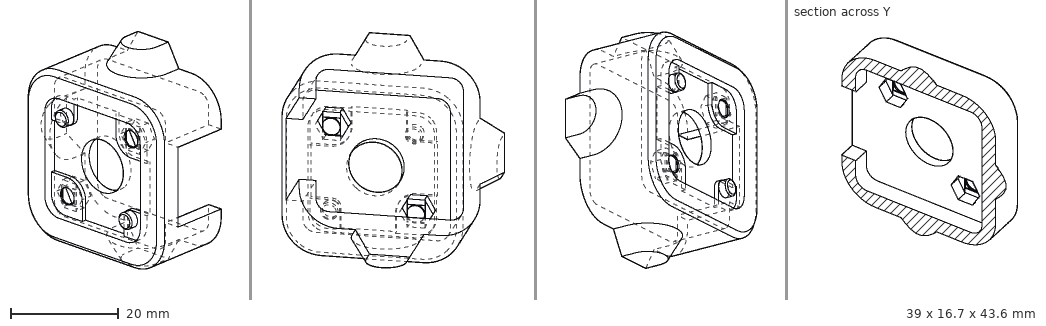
import cadquery as cq
import math

BODY_SIDE = 34.35
DEPTH = 16.65
CORNER_RADIUS = 7.5
FRONT_CHAMFER = 1.05

OVERALL_HEIGHT = 43.6
BOSS_HEIGHT = (OVERALL_HEIGHT - BODY_SIDE) / 2
BOSS_BASE_RADIUS = 6.5
BOSS_TIP_RADIUS = 3.85
BOSS_CENTRE_FROM_BACK = 3.2

POCKET_SIDE = 24.02
POCKET_RADIUS = 3.5
POCKET_DEPTH = 2.7
PLATE_BACK = 4.8
CENTRE_HOLE_DIAMETER = 10.5

CAVITY_SIDE = 28.0
CAVITY_RADIUS = 2.5
WINDOW_WIDTH = 16.05

PAD_FACE = 1.8
FIXING_OFFSET = 8.02
HOLE_PAD_RADIUS = 3.8
PIN_PAD_RADIUS = 1.75

SCREW_HOLE_DIAMETER = 3.4
NUT_ACROSS_FLATS = 5.5
NUT_ACROSS_CORNERS = NUT_ACROSS_FLATS / math.cos(math.pi / 6)
NUT_TRAP_FLOOR = 2.5
STEP_HEIGHT = 0.17

PIN_DIAMETER = 3.3
PIN_CHAMFER = 0.3


def sketch_plane(y, x=0, z=0):
    """Workplane parallel to the front face; its extrusions towards the back are negative."""
    return cq.Workplane("XZ", origin=(x, y, z))


def rounded_square(side, radius, y_front, y_back):
    """Square prism along Y with rounded long edges."""
    prism = sketch_plane(y_front).rect(side, side).extrude(y_front - y_back)
    return prism.edges("|Y").fillet(radius)


def rod(x, z, diameter, y_front, y_back):
    """Round bar along Y."""
    return sketch_plane(y_front, x, z).circle(diameter / 2).extrude(y_front - y_back)


def d_outline(workplane, radius):
    """Half circle towards the front with straight flanks running to the back face."""
    return (
        workplane.moveTo(-BOSS_CENTRE_FROM_BACK, -radius)
        .threePointArc((-BOSS_CENTRE_FROM_BACK - radius, 0), (-BOSS_CENTRE_FROM_BACK, radius))
        .lineTo(0, radius)
        .lineTo(0, -radius)
        .close()
    )


def side_boss(angle):
    """Tapered boss on the -X side, turned about the Y axis to another side."""
    wall = cq.Plane(origin=(-BODY_SIDE / 2, DEPTH, 0), xDir=(0, 1, 0), normal=(-1, 0, 0))
    base = d_outline(cq.Workplane(wall), BOSS_BASE_RADIUS)
    boss = d_outline(base.workplane(offset=BOSS_HEIGHT), BOSS_TIP_RADIUS).loft(ruled=True)
    return boss.rotate((0, 0, 0), (0, 1, 0), angle)


def corner_pad(x_sign, z_sign, radius):
    """Square pad filling a pocket corner, its inner corner rounded about the fixing centre."""
    wall_overlap = 0.45
    inner = FIXING_OFFSET - radius
    size = POCKET_SIDE / 2 + wall_overlap - inner
    middle = inner + size / 2
    pad = (
        sketch_plane(PAD_FACE, x_sign * middle, z_sign * middle)
        .rect(size, size)
        .extrude(PAD_FACE - PLATE_BACK)
    )
    return pad.edges("|Y").edges(cq.NearestToPointSelector((0, 0, 0))).fillet(radius)


def screw_hole(x, z):
    """Round hole, square step, slot step and hexagonal nut trap, from front to back."""
    slot_front = NUT_TRAP_FLOOR - STEP_HEIGHT
    square_front = slot_front - STEP_HEIGHT
    trap_depth = PLATE_BACK - NUT_TRAP_FLOOR
    trap = sketch_plane(NUT_TRAP_FLOOR, x, z).polygon(6, NUT_ACROSS_CORNERS).extrude(-trap_depth)
    slot = (
        sketch_plane(slot_front, x, z)
        .rect(SCREW_HOLE_DIAMETER, NUT_ACROSS_FLATS)
        .extrude(-STEP_HEIGHT)
    )
    square = (
        sketch_plane(square_front, x, z)
        .rect(SCREW_HOLE_DIAMETER, SCREW_HOLE_DIAMETER)
        .extrude(-STEP_HEIGHT)
    )
    return rod(x, z, SCREW_HOLE_DIAMETER, 0, PLATE_BACK).union(square).union(slot).union(trap)


def locating_pin(x, z):
    return rod(x, z, PIN_DIAMETER, 0, POCKET_DEPTH).faces("<Y").chamfer(PIN_CHAMFER)


def side_window():
    """Rectangular opening from the cavity through the +X wall, open at the back."""
    return cq.Workplane("XY").box(
        BODY_SIDE / 2, DEPTH - PLATE_BACK, WINDOW_WIDTH, centered=(False, False, True)
    ).translate((0, PLATE_BACK, 0))


result = rounded_square(BODY_SIDE, CORNER_RADIUS, 0, DEPTH).faces("<Y").chamfer(FRONT_CHAMFER)
result = result.cut(rounded_square(POCKET_SIDE, POCKET_RADIUS, 0, POCKET_DEPTH))
result = result.cut(rounded_square(CAVITY_SIDE, CAVITY_RADIUS, PLATE_BACK, DEPTH))
result = result.cut(rod(0, 0, CENTRE_HOLE_DIAMETER, 0, DEPTH))
result = result.cut(side_window())

for angle in (0, 90, -90):
    result = result.union(side_boss(angle))

for sign in (1, -1):
    offset = sign * FIXING_OFFSET
    result = result.union(corner_pad(sign, sign, HOLE_PAD_RADIUS))
    result = result.cut(screw_hole(offset, offset))
    result = result.union(corner_pad(sign, -sign, PIN_PAD_RADIUS))
    result = result.union(locating_pin(offset, -offset))